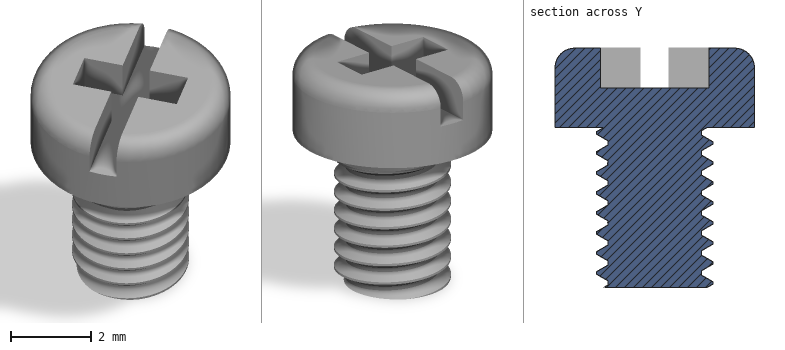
import cadquery as cq
import math

total_length = 6.0
head_height = total_length / 3
head_diameter = total_length * 5 / 6
head_edge_radius = head_height / 4
shank_length = total_length - head_height

recess_depth = head_height / 2
slot_width = 0.7
cross_length = 2.7
cross_width = 1.03

major_diameter = 2.93
minor_diameter = 2.36
pitch = shank_length / 8
crest_width = pitch / 8
flank_half_angle = math.radians(30)
root_overlap = 0.02
spare_turns = 2


def make_head():
    head = cq.Workplane("XY").circle(head_diameter / 2).extrude(head_height)
    return head.faces(">Z").edges().fillet(head_edge_radius)


def make_recess():
    floor = cq.Workplane("XY", origin=(0, 0, head_height - recess_depth))
    slot = floor.rect(slot_width, 2 * head_diameter).extrude(head_height)
    cross = floor.rect(cross_length, cross_width).extrude(head_height)
    return slot.union(cross)


def make_thread():
    """Helical ridge with its crest a quarter pitch above the shank end on +X."""
    crest_radius = major_diameter / 2
    base_radius = minor_diameter / 2 - root_overlap
    crest_half = crest_width / 2
    base_half = crest_half + (crest_radius - base_radius) * math.tan(flank_half_angle)
    start_z = -shank_length + pitch / 4 - spare_turns * pitch

    helix = cq.Wire.makeHelix(pitch, shank_length + 2 * spare_turns * pitch, base_radius)
    ridge = (
        cq.Workplane("XZ")
        .polyline([
            (base_radius, -base_half),
            (crest_radius, -crest_half),
            (crest_radius, crest_half),
            (base_radius, base_half),
        ])
        .close()
        .sweep(cq.Workplane(obj=helix), isFrenet=True)
        .translate((0, 0, start_z))
    )
    shank_envelope = cq.Workplane("XY").circle(major_diameter).extrude(-shank_length)
    return ridge.intersect(shank_envelope)


core = cq.Workplane("XY").circle(minor_diameter / 2).extrude(-shank_length)
shank = core.union(make_thread())
result = make_head().cut(make_recess()).union(shank)